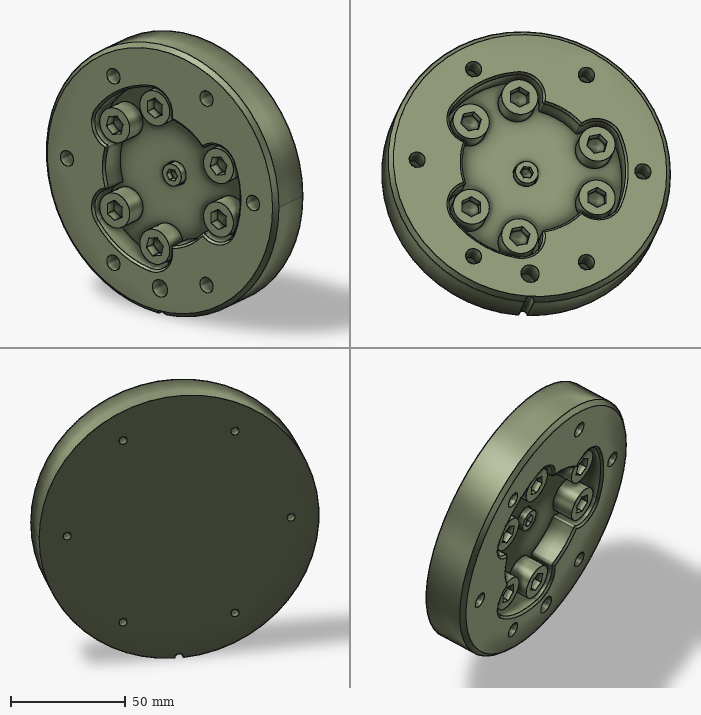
import cadquery as cq
import math

OVERALL_WIDTH = 125.3
PLATE_THICKNESS = 20.0
PLATE_CHAMFER = 2.0
TURN_ABOUT_Z = -1.0

POCKET_RADIUS = 30.0
POCKET_DEPTH = 12.0
POCKET_CHAMFER = 1.0
POCKET_CORNER_RADIUS = 1.1
SCREW_CLEARANCE = 2.0

SCREW_CIRCLE_RADIUS = 32.5
BAY_ANGLES = (0, 120, 240)
SCREW_HALF_ANGLE = 22.5
HEAD_DIAMETER = 16.0
HEAD_HEIGHT = 10.0
HEX_ACROSS_FLATS = 8.0
HEX_DEPTH = 5.0
HEX_TURN = -7.5
HEX_POINT_ANGLE = 150.0

CENTER_HEAD_DIAMETER = 10.0
CENTER_HEAD_HEIGHT = 6.0
CENTER_BORE_DIAMETER = 11.0
CENTER_BORE_DEPTH = 3.0
CENTER_HEX_ACROSS_FLATS = 5.0
CENTER_HEX_DEPTH = 3.0
CENTER_HEX_TURN = 0.0

DRILL_POINT_ANGLE = 118.0

HOLE_CIRCLE_RADIUS = 50.0
STEPPED_HOLE_COUNT = 6
STEPPED_HOLE_DIAMETER = 7.0
STEPPED_HOLE_DEPTH = 12.0
THROUGH_HOLE_DIAMETER = 3.5
PIN_HOLE_DIAMETER = 8.0
PIN_HOLE_DEPTH = 12.0

NOTCH_DIAMETER = 3.9

turn_angle = math.radians(abs(TURN_ABOUT_Z))
straight_side = PLATE_THICKNESS - PLATE_CHAMFER
PLATE_DIAMETER = (OVERALL_WIDTH - straight_side * math.sin(turn_angle)) / math.cos(turn_angle)
PLATE_RADIUS = PLATE_DIAMETER / 2

BAY_END_RADIUS = HEAD_DIAMETER / 2 + SCREW_CLEARANCE
BAY_OUTER_RADIUS = SCREW_CIRCLE_RADIUS + BAY_END_RADIUS


def polar(radius, angle):
    turn = math.radians(angle)
    return (radius * math.cos(turn), radius * math.sin(turn))


def cylinder(center, diameter, top, height):
    """Upright cylinder reaching down from z = top."""
    return cq.Workplane("XY", origin=(*center, top)).circle(diameter / 2).extrude(-height)


def drill_point(center, diameter, top, point_angle):
    """Cone that narrows downward from z = top to a point."""
    depth = diameter / 2 / math.tan(math.radians(point_angle / 2))
    cone = cq.Solid.makeCone(
        diameter / 2, 0, depth, pnt=cq.Vector(*center, top), dir=cq.Vector(0, 0, -1)
    )
    return cq.Workplane(obj=cone)


def drilled_hole(center, diameter, depth):
    """Blind hole from the front face, ending in a drill point."""
    bore = cylinder(center, diameter, 0, depth)
    return bore.union(drill_point(center, diameter, -depth, DRILL_POINT_ANGLE))


def bay(angle):
    """Sector with rounded ends that clears one pair of screws."""
    start = polar(BAY_OUTER_RADIUS, angle - SCREW_HALF_ANGLE)
    middle = polar(BAY_OUTER_RADIUS, angle)
    end = polar(BAY_OUTER_RADIUS, angle + SCREW_HALF_ANGLE)
    shape = (
        cq.Workplane("XY")
        .lineTo(*start)
        .threePointArc(middle, end)
        .close()
        .extrude(-POCKET_DEPTH)
    )
    for side in (-SCREW_HALF_ANGLE, SCREW_HALF_ANGLE):
        screw_center = polar(SCREW_CIRCLE_RADIUS, angle + side)
        shape = shape.union(cylinder(screw_center, 2 * BAY_END_RADIUS, 0, POCKET_DEPTH))
    return shape


def is_pocket_corner(edge):
    """True for the edges where a bay meets the round recess."""
    place = edge.Center()
    return abs(math.hypot(place.x, place.y) - POCKET_RADIUS) < POCKET_CHAMFER


def pocket():
    shape = cylinder((0, 0), 2 * POCKET_RADIUS, 0, POCKET_DEPTH)
    for angle in BAY_ANGLES:
        shape = shape.union(bay(angle))
    shape = shape.clean()
    return shape.edges("|Z").filter(is_pocket_corner).fillet(POCKET_CORNER_RADIUS)


def plate():
    shape = cylinder((0, 0), PLATE_DIAMETER, 0, PLATE_THICKNESS)
    shape = shape.faces(">Z").chamfer(PLATE_CHAMFER)
    shape = shape.cut(pocket())
    pocket_rim = shape.faces(">Z").val().innerWires()[0]
    return shape.newObject(pocket_rim.Edges()).chamfer(POCKET_CHAMFER)


def socket_screw(center, diameter, bottom, height, across_flats, socket_depth, hex_turn, point_angle):
    """Screw head with a hexagonal socket that ends in a drill point."""
    top = bottom + height
    across_corners = across_flats / math.cos(math.pi / 6)
    socket = (
        cq.Workplane("XY", origin=(*center, top))
        .transformed(rotate=(0, 0, hex_turn))
        .polygon(6, across_corners)
        .extrude(-socket_depth)
    )
    head = cylinder(center, diameter, top, height)
    point = drill_point(center, across_flats, top - socket_depth, point_angle)
    return head.cut(socket).cut(point)


def with_screws(shape):
    floor = -POCKET_DEPTH
    for angle in BAY_ANGLES:
        for side in (-SCREW_HALF_ANGLE, SCREW_HALF_ANGLE):
            screw_angle = angle + side
            center = polar(SCREW_CIRCLE_RADIUS, screw_angle)
            shape = shape.union(
                socket_screw(
                    center, HEAD_DIAMETER, floor, HEAD_HEIGHT,
                    HEX_ACROSS_FLATS, HEX_DEPTH, screw_angle + HEX_TURN, HEX_POINT_ANGLE,
                )
            )
    bore_bottom = floor - CENTER_BORE_DEPTH
    shape = shape.cut(cylinder((0, 0), CENTER_BORE_DIAMETER, floor, CENTER_BORE_DEPTH))
    return shape.union(
        socket_screw(
            (0, 0), CENTER_HEAD_DIAMETER, bore_bottom, CENTER_HEAD_HEIGHT,
            CENTER_HEX_ACROSS_FLATS, CENTER_HEX_DEPTH, CENTER_HEX_TURN, DRILL_POINT_ANGLE,
        )
    )


def with_rim_holes(shape):
    for index in range(STEPPED_HOLE_COUNT):
        center = polar(HOLE_CIRCLE_RADIUS, index * 360 / STEPPED_HOLE_COUNT)
        shape = shape.cut(drilled_hole(center, STEPPED_HOLE_DIAMETER, STEPPED_HOLE_DEPTH))
        shape = shape.cut(cylinder(center, THROUGH_HOLE_DIAMETER, 0, PLATE_THICKNESS))
    pin_center = (0, -HOLE_CIRCLE_RADIUS)
    shape = shape.cut(drilled_hole(pin_center, PIN_HOLE_DIAMETER, PIN_HOLE_DEPTH))
    return shape.cut(cylinder((0, -PLATE_RADIUS), NOTCH_DIAMETER, 0, PLATE_THICKNESS))


result = with_rim_holes(with_screws(plate()))

result = (
    result.translate((0, 0, PLATE_THICKNESS / 2))
    .rotate((0, 0, 0), (1, 0, 0), 90)
    .rotate((0, 0, 0), (0, 0, 1), TURN_ABOUT_Z)
)